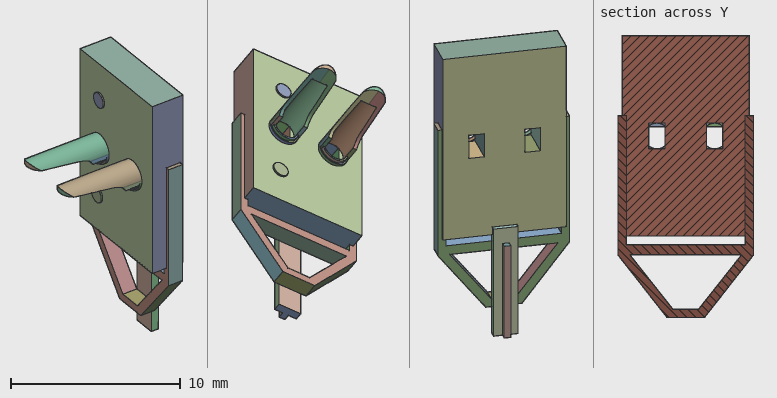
import cadquery as cq


housing_width = 7.5
housing_depth = 2.2
housing_bottom = 6.5
housing_top = 18.3
slot_width = 0.93

pad_diameter = 1.0
pad_height = 0.1
pad_centres = [(-1.7, 15.8), (-1.9, 9.0)]

frame_width = 8.0
frame_thickness = 1.0
frame_top = 13.6
arm_width = 0.5
crossbar_top = 6.0
crossbar_bottom = 5.4
frame_foot_width = 2.2
frame_foot_bottom = 1.7
frame_foot_top = 2.2
opening_top_width = 6.56

tab_width = 1.5
tab_thickness = 0.5
tab_top = 7.0
tab_recess = 0.2
rib_width = 0.4
rib_thickness = 0.4
rib_top = 6.0

spout_spacing = 3.4
spout_z = 12.4
spout_diameter = 1.95
bore_diameter = 1.5
spout_length = 5.2
bore_reach = 4.1
flange_thickness = 0.18
collar_diameter = 1.75
collar_length = 0.375
skirt_drop = 0.2
skirt_start = 0.085
skirt_length = 1.15
tip_radius = 0.85
scoop_points = [(-1.4, 0.1), (-2.4, 0.345), (-3.7, 0.49), (-spout_length, 0.64)]

tab_front = housing_depth - tab_recess
tab_back = tab_front + tab_thickness
frame_front = tab_front - frame_thickness
spout_centres = [(side * spout_spacing / 2, spout_z) for side in (-1, 1)]


def block(width, y_front, y_back, z_bottom, z_top, x_centre=0):
    """Box centred on x_centre and spanning the given Y and Z ranges."""
    size = (width, y_back - y_front, z_top - z_bottom)
    corner = (x_centre - width / 2, y_front, z_bottom)
    return cq.Workplane("XY").box(*size, centered=False).translate(corner)


def cylinder(diameter, y_front, y_back, centre=(0, 0)):
    """Cylinder along Y between two Y positions, centred on an (x, z) point."""
    x, z = centre
    disc = cq.Workplane("XZ", origin=(x, y_back, z)).circle(diameter / 2)
    return disc.extrude(y_back - y_front)


def make_housing():
    body = block(housing_width, 0, housing_depth, housing_bottom, housing_top)

    notch_offset = (frame_width - arm_width) / 2
    for x in (-notch_offset, notch_offset):
        body = body.cut(block(arm_width, frame_front, tab_front, housing_bottom, frame_top, x))

    body = body.cut(block(tab_width, tab_front, housing_depth, housing_bottom, tab_top))

    half_slot = bore_diameter / 2
    for x, z in spout_centres:
        body = body.cut(block(slot_width, 0, housing_depth, z - half_slot, z + half_slot, x))

    for centre in pad_centres:
        body = body.union(cylinder(pad_diameter, -pad_height, 0, centre))
    return body


def frame_prism(points):
    """Closed XZ outline extruded through the frame thickness."""
    outline = cq.Workplane("XZ", origin=(0, tab_front, 0)).polyline(points).close()
    return outline.extrude(frame_thickness)


def make_frame():
    half_width = frame_width / 2
    half_foot = frame_foot_width / 2
    body = frame_prism([
        (-half_width, frame_top),
        (-half_width, crossbar_bottom),
        (-half_foot, frame_foot_bottom),
        (half_foot, frame_foot_bottom),
        (half_width, crossbar_bottom),
        (half_width, frame_top),
    ])
    opening = frame_prism([
        (-opening_top_width / 2, crossbar_bottom),
        (-tab_width / 2, frame_foot_top),
        (tab_width / 2, frame_foot_top),
        (opening_top_width / 2, crossbar_bottom),
    ])
    gap_between_arms = block(frame_width - 2 * arm_width, frame_front, tab_front, crossbar_top, frame_top)
    return body.cut(opening).cut(gap_between_arms)


def make_tab():
    strip = block(tab_width, tab_front, tab_back, 0, tab_top)
    rib = block(rib_width, tab_back, tab_back + rib_thickness, 0, rib_top)
    return strip.union(rib)


def scooped_profile():
    """Prism with the spout's side profile: full round at the root, scooped away below towards the tip."""
    return (
        cq.Workplane("YZ")
        .moveTo(0, spout_diameter)
        .lineTo(0, -spout_diameter)
        .lineTo(-flange_thickness, -spout_diameter)
        .lineTo(-flange_thickness, -skirt_drop)
        .lineTo(-skirt_length, -skirt_drop)
        .spline(scoop_points, includeCurrent=True)
        .lineTo(-spout_length, spout_diameter)
        .close()
        .extrude(spout_diameter, both=True)
    )


def tip_trim():
    """Cutter that leaves a round end on the spout as seen from above."""
    centre_y = tip_radius - spout_length
    surround = block(2 * spout_diameter, -2 * spout_length, centre_y, 0, spout_diameter)
    kept_disc = cq.Workplane("XY").center(0, centre_y).circle(tip_radius).extrude(spout_diameter)
    return surround.cut(kept_disc)


def make_spout(centre):
    radius = spout_diameter / 2

    skirt_width = 2 * (radius**2 - skirt_start**2) ** 0.5
    flattened = block(skirt_width, -spout_length, 0, -spout_diameter, skirt_start)
    rounded = block(2 * spout_diameter, -spout_length, 0, skirt_start, spout_diameter)
    skirts = block(skirt_width, -spout_length, -flange_thickness, -skirt_drop, skirt_start)
    body = cylinder(spout_diameter, -spout_length, 0).intersect(flattened.union(rounded)).union(skirts)
    body = body.intersect(scooped_profile()).cut(tip_trim())

    body = body.union(cylinder(collar_diameter, -collar_length, 0))
    body = body.cut(cylinder(bore_diameter, -bore_reach, 0))
    x, z = centre
    return body.translate((x, 0, z))


housing = make_housing()
frame = make_frame()
tab = make_tab()
spouts = [make_spout(centre) for centre in spout_centres]

result = cq.Compound.makeCompound(
    [housing.val(), frame.val(), tab.val(), *[spout.val() for spout in spouts]]
)